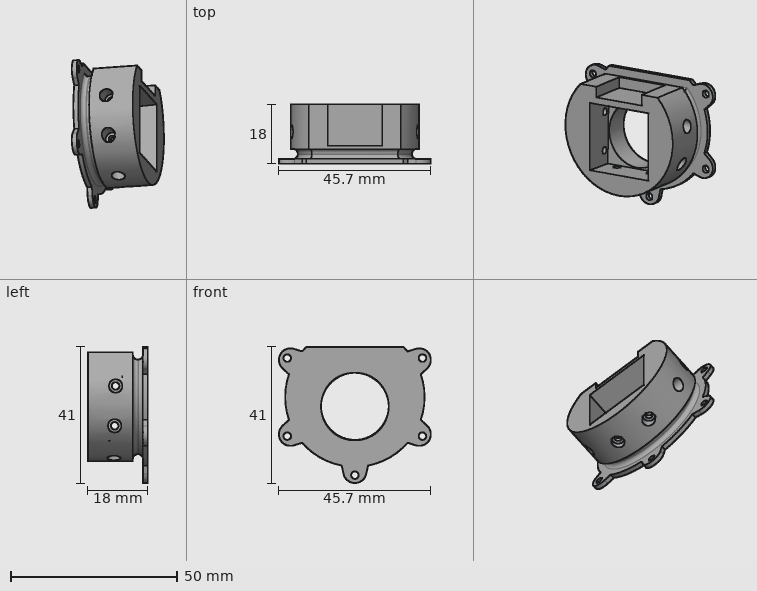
import cadquery as cq
import math

width = 45.7
depth = 18.0
height = 40.95

flange_radius = 20.95
flange_thickness = 1.5
bolt_circle_radius = 23.45
bolt_hole_diameter = 2.2
side_tab_angle = 30
tab_angles = (side_tab_angle, 180 - side_tab_angle, 180 + side_tab_angle, 270, 360 - side_tab_angle)
tab_radius = 3.5
tab_taper = math.radians(12.5)
tab_root_radius = 18.25
tab_center_radius = (width / 2 - tab_radius) / math.cos(math.radians(side_tab_angle))
flange_top = height - tab_center_radius - tab_radius

body_radius = 19.3
body_top = 13.48
body_front = 4.48
neck_inset = 2.15
neck_fillet = 1.35

notch_width = 16.35
notch_front = 5.45
notch_floor = 10.15

tilt_degrees = 1.4
bore_center_z = -2.9
bore_diameter = 20.3
pocket_side = 21.0
pocket_front = 7.9
screw_y = 9.8
screw_offset = 6.0
screw_hole_diameter = 2.2
counterbore_diameter = 4.0
screw_seat_thickness = 2.0

cut_reach = 2 * depth


def flat_topped_disc(radius, top, y_front, y_back):
    """Disc along Y with everything above z = top removed."""
    length = y_back - y_front
    disc = cq.Workplane("XZ", origin=(0, y_front, 0)).circle(radius).extrude(-length)
    keep = cq.Workplane("XY").box(2 * radius, length, radius + top, centered=(True, False, False))
    return disc.intersect(keep.translate((0, y_front, -radius)))


def tab(angle):
    """Rounded tab whose straight sides are tangent to its tip and widen toward the disc."""
    tangent_half_width = tab_radius * math.cos(tab_taper)
    tangent_distance = tab_center_radius + tab_radius * math.sin(tab_taper)
    root_half_width = tangent_half_width + (tangent_distance - tab_root_radius) * math.tan(tab_taper)
    outline = (
        cq.Workplane("XZ")
        .moveTo(tab_root_radius, -root_half_width)
        .lineTo(tangent_distance, -tangent_half_width)
        .threePointArc((tab_center_radius + tab_radius, 0), (tangent_distance, tangent_half_width))
        .lineTo(tab_root_radius, root_half_width)
        .close()
    )
    return outline.extrude(-flange_thickness).rotate((0, 0, 0), (0, 1, 0), -angle)


def make_flange():
    flange = flat_topped_disc(flange_radius, flange_top, 0, flange_thickness)
    for angle in tab_angles:
        flange = flange.union(tab(angle))
    bolt_points = [
        (bolt_circle_radius * math.cos(math.radians(a)), bolt_circle_radius * math.sin(math.radians(a)))
        for a in tab_angles
    ]
    holes = (
        cq.Workplane("XZ").pushPoints(bolt_points).circle(bolt_hole_diameter / 2).extrude(-flange_thickness)
    )
    return flange.cut(holes)


def make_body():
    """Body, neck and plain flange disc, with the neck filleted into the faces at both ends."""
    neck_radius = body_radius - neck_inset
    neck_top = body_top - neck_inset
    body = flat_topped_disc(body_radius, body_top, body_front, depth)
    neck = flat_topped_disc(neck_radius, neck_top, flange_thickness, body_front)
    flange_disc = flat_topped_disc(flange_radius, flange_top, 0, flange_thickness)
    joined = flange_disc.union(neck).union(body)
    corner_margin = 0.05
    neck_box = cq.selectors.BoxSelector(
        (-neck_radius - corner_margin, flange_thickness - corner_margin, -neck_radius - corner_margin),
        (neck_radius + corner_margin, body_front + corner_margin, neck_top + corner_margin),
        boundingbox=True,
    )
    return joined.edges(neck_box).edges("not |Y").fillet(neck_fillet)


def make_notch():
    notch = cq.Workplane("XY").box(notch_width, cut_reach, cut_reach, centered=(True, False, False))
    return notch.translate((0, notch_front, notch_floor))


def screw_hole():
    """Counterbored hole along +Z, starting inside the pocket."""
    seat = pocket_side / 2 + screw_seat_thickness
    hole = cq.Workplane("XY").circle(screw_hole_diameter / 2).extrude(seat)
    counterbore = cq.Workplane("XY", origin=(0, 0, seat)).circle(counterbore_diameter / 2).extrude(cut_reach)
    return hole.union(counterbore).translate((screw_offset, screw_y, 0))


def make_tilted_cuts():
    """Everything cut along the tilted axis, built square to that axis and then turned."""
    bore = cq.Workplane("XZ", origin=(0, -depth, 0)).circle(bore_diameter / 2).extrude(-depth - pocket_front)
    pocket = cq.Workplane("XZ", origin=(0, pocket_front, 0)).rect(pocket_side, pocket_side).extrude(-cut_reach)
    cuts = bore.union(pocket)
    for turn in (-90, 90, 180):
        pair = screw_hole().union(screw_hole().mirror("YZ"))
        cuts = cuts.union(pair.rotate((0, 0, 0), (0, 1, 0), turn))
    return cuts.rotate((0, 0, 0), (1, 0, 0), tilt_degrees).translate((0, 0, bore_center_z))


result = make_body().union(make_flange()).cut(make_notch()).cut(make_tilted_cuts())